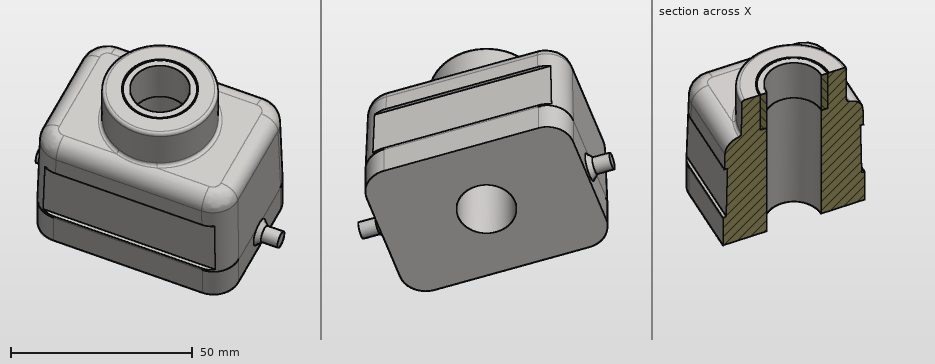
import cadquery as cq
import math

HOOD_LENGTH = 60.0
HOOD_WIDTH = 43.0
SKIRT_HEIGHT = 10.0
HOOD_HEIGHT = 40.0
DRAFT_ANGLE = 1.2
CORNER_RADIUS = 7.5
TOP_EDGE_RADIUS = 5.1

PANEL_DEPTH = 0.9
PANEL_BOTTOM = 11.0
PANEL_TOP = 29.1
LEDGE_DROP = 0.4

COLLAR_DIAMETER = 32.0
OVERALL_HEIGHT = 53.5
COLLAR_ROUNDING = 1.0
SEAT_DIAMETER = 20.4
SEAT_MOUTH_DIAMETER = 21.0

BORE_DIAMETER = 16.5

PEG_SPAN = 73.0
PEG_DIAMETER = 4.8
PEG_HEIGHT = 6.2
PEG_ROOT_SIZE = 1.5

DRAFT_SLOPE = math.tan(math.radians(DRAFT_ANGLE))
SEAT_CHAMFER = (SEAT_MOUTH_DIAMETER - SEAT_DIAMETER) / 2
SLEEVE_LENGTH = OVERALL_HEIGHT - HOOD_HEIGHT


def make_hood_body():
    """Straight skirt below a drafted upper part with rounded corners and top edge."""
    skirt = (
        cq.Workplane("XY")
        .rect(HOOD_LENGTH, HOOD_WIDTH)
        .extrude(SKIRT_HEIGHT)
        .edges("|Z")
        .fillet(CORNER_RADIUS)
    )
    upper = (
        cq.Workplane("XY", origin=(0, 0, SKIRT_HEIGHT))
        .rect(HOOD_LENGTH, HOOD_WIDTH)
        .extrude(HOOD_HEIGHT - SKIRT_HEIGHT, taper=DRAFT_ANGLE)
        .edges("not(#Z)")
        .fillet(CORNER_RADIUS)
        .faces(">Z")
        .edges()
        .fillet(TOP_EDGE_RADIUS)
    )
    return skirt.union(upper)


def panel_half_width(height):
    """Distance of a recessed panel from the middle plane; it runs parallel to the drafted wall."""
    return HOOD_WIDTH / 2 - (height - SKIRT_HEIGHT) * DRAFT_SLOPE - PANEL_DEPTH


def make_panel_cutter(side):
    """Prism that leaves a drafted flat with a sloping ledge below; side is -1 or +1 along Y."""
    outside = HOOD_WIDTH / 2
    return (
        cq.Workplane("YZ")
        .moveTo(side * panel_half_width(PANEL_BOTTOM), PANEL_BOTTOM)
        .lineTo(side * panel_half_width(PANEL_TOP), PANEL_TOP)
        .lineTo(side * outside, PANEL_TOP)
        .lineTo(side * outside, PANEL_BOTTOM - LEDGE_DROP)
        .close()
        .extrude(HOOD_LENGTH / 2, both=True)
    )


def make_peg(side):
    """Round peg with a 45 degree cone at its root; side is -1 or +1 along X."""
    wall = HOOD_LENGTH / 2
    radius = PEG_DIAMETER / 2
    cone_radius = radius + PEG_ROOT_SIZE
    embedded = wall - PEG_ROOT_SIZE
    return (
        cq.Workplane("XZ", origin=(0, 0, PEG_HEIGHT))
        .moveTo(side * embedded, 0)
        .lineTo(side * embedded, cone_radius)
        .lineTo(side * wall, cone_radius)
        .lineTo(side * (wall + PEG_ROOT_SIZE), radius)
        .lineTo(side * PEG_SPAN / 2, radius)
        .lineTo(side * PEG_SPAN / 2, 0)
        .close()
        .revolve(360, (0, 0), (1, 0))
    )


def add_collar(hood):
    """Cylindrical collar on the roof, rounded at its rim and filleted at its foot."""
    radius = COLLAR_DIAMETER / 2
    collar = (
        cq.Workplane("XY", origin=(0, 0, SKIRT_HEIGHT))
        .circle(radius)
        .extrude(OVERALL_HEIGHT - SKIRT_HEIGHT)
        .faces(">Z")
        .edges()
        .fillet(COLLAR_ROUNDING)
    )
    foot = cq.selectors.BoxSelector(
        (-radius, -radius, HOOD_HEIGHT - COLLAR_ROUNDING),
        (radius, radius, HOOD_HEIGHT + COLLAR_ROUNDING),
    )
    return hood.union(collar).edges("%CIRCLE").edges(foot).fillet(COLLAR_ROUNDING)


def make_housing():
    hood = make_hood_body()
    for side in (-1, 1):
        hood = hood.cut(make_panel_cutter(side))
        hood = hood.union(make_peg(side))
    hood = add_collar(hood)
    bore = cq.Workplane("XY").circle(BORE_DIAMETER / 2).extrude(OVERALL_HEIGHT)
    seat = (
        cq.Workplane("XY", origin=(0, 0, HOOD_HEIGHT))
        .circle(SEAT_DIAMETER / 2)
        .extrude(SLEEVE_LENGTH)
    )
    hood = hood.cut(bore).cut(seat)
    seat_mouth = hood.faces(">Z").edges(cq.selectors.RadiusNthSelector(0))
    return seat_mouth.chamfer(SEAT_CHAMFER)


def make_sleeve():
    """Plain tube that fills the collar seat, flush with the rim."""
    return (
        cq.Workplane("XY", origin=(0, 0, HOOD_HEIGHT))
        .circle(SEAT_DIAMETER / 2)
        .circle(BORE_DIAMETER / 2)
        .extrude(SLEEVE_LENGTH)
    )


housing = make_housing()
sleeve = make_sleeve()

result = cq.Compound.makeCompound([housing.solids().val(), sleeve.val()])